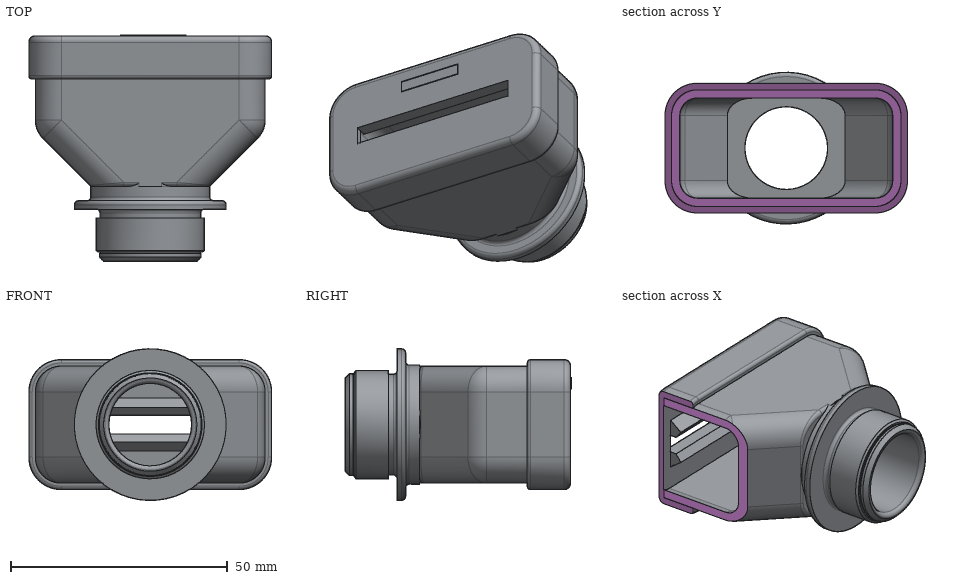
import cadquery as cq
import math


hood_width = 53.0
hood_height = 27.0
hood_round = 6.0
hood_front = 17.2
hood_front_round = 1.0
shoulder = 30.1
hood_wall = 2.0
cavity_front = 20.0

bore_radius = 9.5
mouth_round = 1.0
tip_radius = 11.75
tip_chamfer = 1.0
tip_back = 1.8
undercut_radius = 11.55
thread_radius = 12.5
thread_front_radius = 11.95
thread_start = 2.5
thread_chamfer = 0.4
thread_end = 10.0
neck_radius = 11.65
flange_radius = 17.5
flange_front = 12.0
flange_back = 14.0
flange_round = 1.0
collar_radius = 13.75
root_round = 0.8

cap_thickness = 1.5
cap_length = 10.0
cap_back = 52.0
cap_back_round = 1.5
cap_lip_round = 0.8
cap_width = hood_width + 2 * cap_thickness
cap_height = hood_height + 2 * cap_thickness
cap_front = cap_back - cap_length
hood_back = cap_back - cap_thickness

slot_length = 40.0
slot_half_height = 2.15
lip_peak = 3.95
lip_foot = 6.1
lip_depth = 3.0
lip_edge_depth = 1.6

pad_left = -6.8
pad_right = 8.2
pad_bottom = 8.2
pad_top = 10.9
pad_thickness = 0.2


def hood_shape(inset, front, back):
    """Rounded slab tapering at 45 degrees, set in by `inset` from the hood's outer skin."""
    half_width = hood_width / 2 - inset
    bend = shoulder + inset * math.tan(math.radians(22.5))
    front_half_width = half_width - (bend - front)
    outline = [
        (-half_width, back),
        (-half_width, bend),
        (-front_half_width, front),
        (front_half_width, front),
        (half_width, bend),
        (half_width, back),
    ]
    slab = cq.Workplane("XY").polyline(outline).close().extrude(hood_height / 2 - inset, both=True)
    end_edges = slab.faces("<Y or >Y").edges().vals()
    long_edges = slab.edges().filter(lambda edge: not any(edge.isSame(end) for end in end_edges))
    return long_edges.fillet(hood_round - inset)


def box_along_y(width, height, corner, front, back):
    """Block with rounded long edges, centred on the Y axis."""
    block = cq.Workplane("XY").box(width, back - front, height)
    return block.edges("|Y").fillet(corner).translate((0, (front + back) / 2, 0))


def cylinder_along_y(radius, front, back):
    return cq.Workplane("XZ", origin=(0, front, 0)).circle(radius).extrude(front - back)


def turned_spout():
    """Spout with its plain thread band, flange and collar with their bore."""
    mouth_radius = bore_radius + mouth_round
    profile = (
        cq.Workplane("XY")
        .moveTo(bore_radius, hood_front)
        .lineTo(bore_radius, mouth_round)
        .radiusArc((mouth_radius, 0), -mouth_round)
        .lineTo(tip_radius - tip_chamfer, 0)
        .lineTo(tip_radius, tip_chamfer)
        .lineTo(tip_radius, tip_back)
        .lineTo(undercut_radius, tip_back)
        .lineTo(undercut_radius, thread_start - thread_chamfer)
        .lineTo(thread_front_radius, thread_start - thread_chamfer)
        .lineTo(thread_radius, thread_start)
        .lineTo(thread_radius, thread_end)
        .lineTo(neck_radius, thread_end)
        .lineTo(neck_radius, flange_front - root_round)
        .radiusArc((neck_radius + root_round, flange_front), root_round)
        .lineTo(flange_radius, flange_front)
        .lineTo(flange_radius, flange_back - flange_round)
        .radiusArc((flange_radius - flange_round, flange_back), -flange_round)
        .lineTo(collar_radius + root_round, flange_back)
        .radiusArc((collar_radius, flange_back + root_round), root_round)
        .lineTo(collar_radius, hood_front)
        .close()
    )
    return profile.revolve(360, (0, 0, 0), (0, 1, 0))


def make_housing():
    hood = hood_shape(0, hood_front, hood_back)
    rounded_hood = hood.faces("<Y").edges().fillet(hood_front_round)
    collar_core = cylinder_along_y(collar_radius, hood_front, cavity_front).intersect(hood)
    return (
        rounded_hood
        .union(collar_core)
        .cut(hood_shape(hood_wall, cavity_front, hood_back))
        .cut(cylinder_along_y(bore_radius, hood_front, cavity_front))
        .union(turned_spout())
    )


def sealing_lip(side):
    """V-shaped ridge on the inside of the cap, above (side = 1) or below (side = -1) the slot."""
    outline = [
        (hood_back, side * slot_half_height),
        (hood_back - lip_edge_depth, side * slot_half_height),
        (hood_back - lip_depth, side * lip_peak),
        (hood_back, side * lip_foot),
    ]
    ridge = cq.Workplane("YZ").polyline(outline).close()
    return ridge.extrude(slot_length / 2, both=True)


def make_cap():
    cap_corner = hood_round + cap_thickness
    cap = (
        box_along_y(cap_width, cap_height, cap_corner, cap_front, cap_back)
        .faces(">Y").edges().fillet(cap_back_round)
        .faces("<Y").edges().fillet(cap_lip_round)
    )
    cap = cap.cut(box_along_y(hood_width, hood_height, hood_round, cap_front, hood_back))
    slot = cq.Workplane("XY").box(slot_length, cap_length, 2 * slot_half_height)
    cap = cap.cut(slot.translate((0, cap_back, 0)))
    for side in (1, -1):
        cap = cap.union(sealing_lip(side))
    pad = cq.Workplane("XY").box(
        pad_right - pad_left, pad_thickness, pad_top - pad_bottom, centered=False
    )
    return cap.union(pad.translate((pad_left, cap_back, pad_bottom)))


housing = make_housing()
cap = make_cap()

result = cq.Compound.makeCompound([housing.val(), cap.val()])